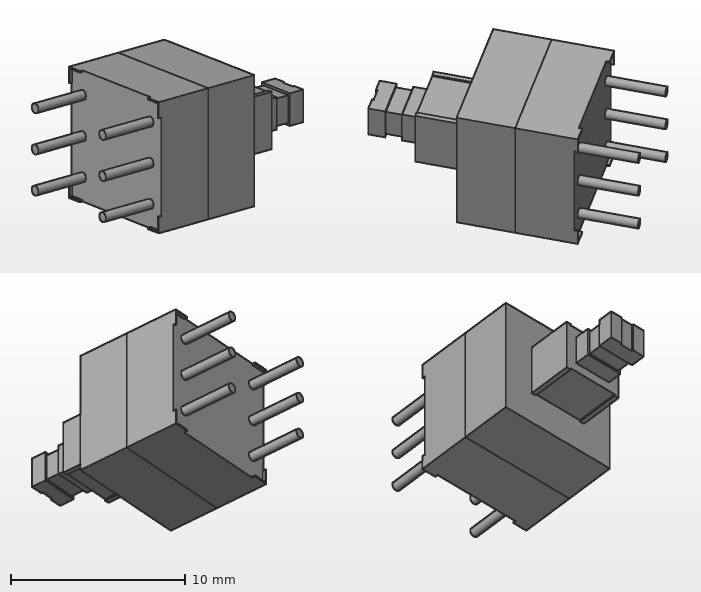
import cadquery as cq

total_length = 16.6
housing_width = 8.0

base_length = 3.52
foot_height = 0.2
foot_arm = 1.0
foot_thickness = 0.1

cover_length = 3.49
collar_length = 3.0
collar_width = 4.0
collar_height = 3.5
collar_groove_width = 3.39
collar_groove_depth = 0.1

plunger_width = 2.5
plunger_height = 2.0
neck_width = 2.2
neck_height = 1.7
guide_length = 1.0
neck_length = 1.0
head_length = 1.01
head_slot_width = 0.86
head_slot_depth = 0.1

pin_diameter = 0.6
column_spacing = 6.0
row_spacing = 2.5
pin_columns = 2
pin_rows = 3

cover_start = base_length
collar_start = cover_start + cover_length
guide_start = collar_start + collar_length
neck_start = guide_start + guide_length
head_start = neck_start + neck_length
plunger_end = head_start + head_length
pin_length = total_length - plunger_end


def block(width, height, start, length):
    """Box centred on the Y axis, running from start toward +Y."""
    return cq.Workplane("XY").box(width, length, height).translate((0, start + length / 2, 0))


def make_base():
    body = block(housing_width, housing_width, 0, base_length)
    inner_width = housing_width - 2 * foot_thickness
    gap_width = housing_width - 2 * foot_arm
    feet = (
        block(housing_width, housing_width, -foot_height, foot_height)
        .cut(block(inner_width, inner_width, -foot_height, foot_height))
        .cut(block(gap_width, housing_width, -foot_height, foot_height))
        .cut(block(housing_width, gap_width, -foot_height, foot_height))
    )
    return body.union(feet)


def make_cover():
    body = block(housing_width, housing_width, cover_start, cover_length)
    groove_floor_height = collar_height - 2 * collar_groove_depth
    collar_core = block(collar_groove_width, groove_floor_height, collar_start, collar_length)
    rib_width = (collar_width - collar_groove_width) / 2
    rib_offset = (collar_width - rib_width) / 2
    rib = block(rib_width, collar_height, collar_start, collar_length)
    body = body.union(collar_core)
    for side in (-1, 1):
        body = body.union(rib.translate((side * rib_offset, 0, 0)))
    return body


def make_plunger():
    guide = block(plunger_width, plunger_height, guide_start, guide_length)
    neck = block(neck_width, neck_height, neck_start, neck_length)
    head = block(plunger_width, plunger_height, head_start, head_length)
    slot = block(head_slot_width, plunger_height, plunger_end - head_slot_depth, head_slot_depth)
    return guide.union(neck).union(head.cut(slot))


def make_pin(x, z):
    """Round pin standing on the rear face of the base, pointing to -Y."""
    return cq.Workplane("XZ").circle(pin_diameter / 2).extrude(pin_length).translate((x, 0, z))


base = make_base()
cover = make_cover()
plunger = make_plunger()

pins = []
for column in range(pin_columns):
    for row in range(pin_rows):
        pin_x = (column - (pin_columns - 1) / 2) * column_spacing
        pin_z = (row - (pin_rows - 1) / 2) * row_spacing
        pins.append(make_pin(pin_x, pin_z).val())

result = cq.Compound.makeCompound([base.val(), cover.val(), plunger.val(), *pins])